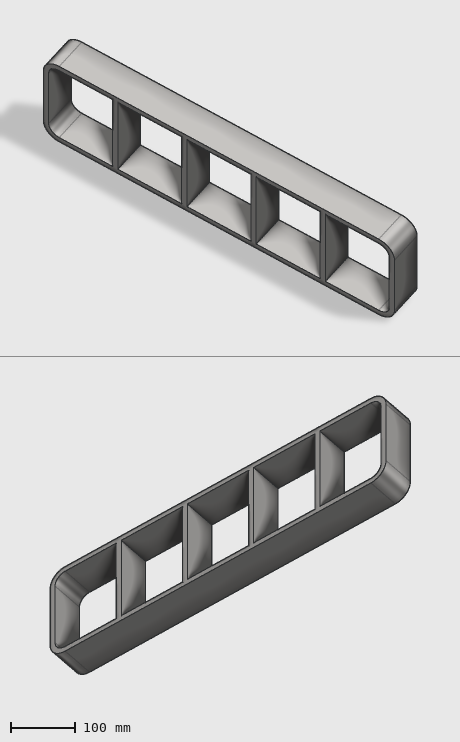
import cadquery as cq

length = 662.5
depth = 60.0
height = 179.5
wall = 10.0
corner_radius = 30.0

bay_count = 5
inner_length = length - 2 * wall
inner_height = height - 2 * wall
bay_width = (inner_length - (bay_count - 1) * wall) / bay_count
bay_pitch = bay_width + wall


def rounded_block(block_length, block_height, radius):
    """Block centred on the origin with its four Y-direction edges rounded."""
    return cq.Workplane("XY").box(block_length, depth, block_height).edges("|Y").fillet(radius)


def divider(x):
    """Upright wall reaching from the bottom rail to the top rail."""
    return cq.Workplane("XY").box(wall, depth, inner_height + wall).translate((x, 0, 0))


outer = rounded_block(length, height, corner_radius)
opening = rounded_block(inner_length, inner_height, corner_radius - wall)
result = outer.cut(opening)

for index in range(1, bay_count):
    result = result.union(divider((index - bay_count / 2) * bay_pitch))